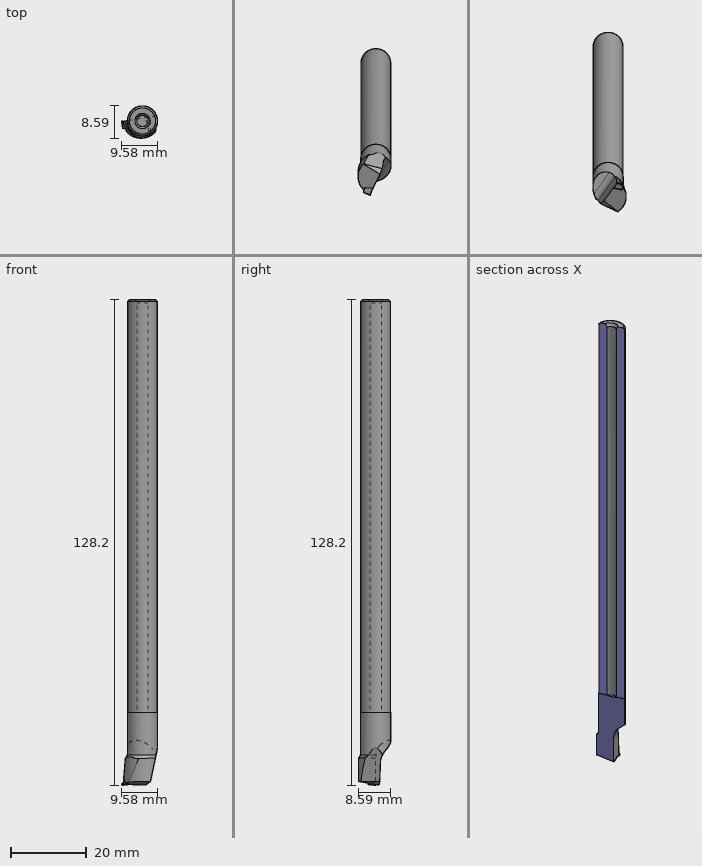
import cadquery as cq
import math

OVERALL_WIDTH = 9.58
OVERALL_DEPTH = 8.59
OVERALL_LENGTH = 128.25
JOINT_Z = 19.3

SHANK_D = 7.92
SHANK_CHAMFER = 0.5
BORE_D = 3.0
COUNTERSINK_D = 4.0
COUNTERSINK_ANGLE = 60

NECK_D = 8.03
NECK_R = NECK_D / 2
SHOULDER_TOP_Z = 8.1
SHOULDER_BOTTOM_Z = 7.1
SHOULDER_R = NECK_R + 0.5

LOBE_X = -0.4
LOBE_FRONT_Y = NECK_R - OVERALL_DEPTH
LOBE_R = 5.0
LOBE_Y = LOBE_FRONT_Y + LOBE_R

FLANK_R = LOBE_R + 1.0
FLANK_LEFT_X = -5.15
FLANK_X_SLOPE = 0.074
FLANK_Y_SLOPE = 0.08

HEEL_TOP_Z = 9.9
HEEL_ANGLE = 12
CORNER_Z = 1.0
CORNER_WIDTH = 1.5

END_Z = 0.25
END_CLEARANCE_ANGLE = 10

TIP_X = NECK_R - OVERALL_WIDTH
TIP_Z = 0.25
TIP_LOW_X = TIP_X + 0.3
TIP_ROOT_X = -4.6
TIP_ROOT_Z = 1.4
TIP_TAIL_X = -3.5
TIP_DEPTH = 2.0
TIP_TAPER = 6

RAKE_ANGLE = 9.5
RAMP_TURN = 25
RAMP_ANGLE = 43
RAMP_Z_ON_AXIS = 8.2
POCKET_FILLET = 4.0

BLOCK = 40.0


def make_shank():
    length = OVERALL_LENGTH - JOINT_Z
    bar = (
        cq.Workplane("XY")
        .workplane(offset=JOINT_Z)
        .circle(SHANK_D / 2)
        .extrude(length)
        .faces(">Z")
        .chamfer(SHANK_CHAMFER)
    )
    return bar.faces(">Z").workplane().cskHole(BORE_D, COUNTERSINK_D, COUNTERSINK_ANGLE)


def make_lobe():
    """Lobe cylinder with a conical shoulder on top, trimmed by the leaning flank cylinder."""
    lobe = cq.Workplane("XY").center(LOBE_X, LOBE_Y).circle(LOBE_R).extrude(SHOULDER_TOP_Z)
    shoulder_envelope = (
        cq.Workplane("XZ")
        .moveTo(0, 0)
        .lineTo(BLOCK, 0)
        .lineTo(BLOCK, SHOULDER_BOTTOM_Z)
        .lineTo(SHOULDER_R, SHOULDER_BOTTOM_Z)
        .lineTo(NECK_R, SHOULDER_TOP_Z)
        .lineTo(0, SHOULDER_TOP_Z)
        .close()
        .revolve(360, (0, 0, 0), (0, 1, 0))
    )
    flank_direction = cq.Vector(FLANK_X_SLOPE, FLANK_Y_SLOPE, 1).normalized()
    flank_centre = cq.Vector(FLANK_LEFT_X + FLANK_R, LOBE_Y, 0)
    flank = cq.Solid.makeCylinder(
        FLANK_R,
        2 * BLOCK,
        flank_centre - flank_direction * BLOCK,
        flank_direction,
    )
    return lobe.intersect(shoulder_envelope).intersect(cq.Workplane(flank))


def make_heel_envelope():
    """Space left of the sloping heel, as a prism along Y."""
    heel_slope = math.tan(math.radians(HEEL_ANGLE))
    corner_x = NECK_R - (HEEL_TOP_Z - CORNER_Z) * heel_slope
    outline = [
        (-BLOCK, 0),
        (corner_x - CORNER_WIDTH, 0),
        (corner_x, CORNER_Z),
        (NECK_R, HEEL_TOP_Z),
        (NECK_R, BLOCK),
        (-BLOCK, BLOCK),
    ]
    return cq.Workplane("XZ").polyline(outline).close().extrude(BLOCK, both=True)


def make_end_clearance():
    """Block below the end face."""
    return (
        cq.Workplane("XY")
        .box(BLOCK, BLOCK, BLOCK, centered=(True, True, False))
        .translate((0, 0, -BLOCK))
        .rotate((0, 0, 0), (1, 0, 0), -END_CLEARANCE_ANGLE)
        .translate((0, 0, END_Z))
    )


def make_tip():
    """Pointed cutting tip, tapering away from the rake face."""
    outline = [
        (TIP_LOW_X, 0),
        (TIP_TAIL_X, TIP_Z),
        (TIP_ROOT_X, TIP_ROOT_Z),
        (TIP_X, TIP_Z),
    ]
    return cq.Workplane("XZ").polyline(outline).close().extrude(TIP_DEPTH, taper=TIP_TAPER)


def make_chip_pocket():
    """Space behind the rake face and below the ramp, with a rounded foot between them."""
    rake_side = (
        cq.Workplane("XY")
        .box(2 * BLOCK, BLOCK, BLOCK, centered=(True, False, True))
        .rotate((0, 0, 0), (0, 0, 1), RAKE_ANGLE)
        .translate((TIP_ROOT_X, 0, 0))
    )
    ramp_side = (
        cq.Workplane("XY")
        .box(BLOCK, BLOCK, BLOCK, centered=(True, True, False))
        .translate((0, 0, -BLOCK))
        .rotate((0, 0, 0), (1, 0, 0), RAMP_ANGLE)
        .rotate((0, 0, 0), (0, 0, 1), RAMP_TURN)
        .translate((0, 0, RAMP_Z_ON_AXIS))
    )
    pocket = rake_side.intersect(ramp_side)
    ramp_foot = cq.selectors.NearestToPointSelector((0, 0, RAMP_Z_ON_AXIS))
    return pocket.edges(ramp_foot).fillet(POCKET_FILLET)


def make_head():
    neck = (
        cq.Workplane("XY")
        .workplane(offset=SHOULDER_TOP_Z)
        .circle(NECK_R)
        .extrude(JOINT_Z - SHOULDER_TOP_Z)
    )
    head = neck.union(make_lobe())
    head = head.intersect(make_heel_envelope())
    head = head.cut(make_end_clearance())
    head = head.cut(make_chip_pocket())
    return head.union(make_tip())


shank = make_shank()
head = make_head()

result = cq.Compound.makeCompound([shank.val(), head.val()])